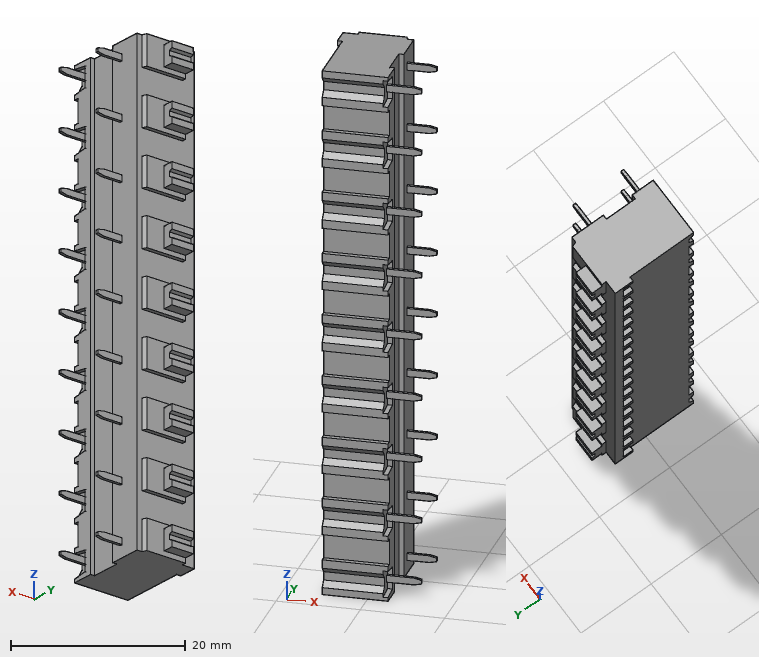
import cadquery as cq

length = 65.15
pole_count = 9
pole_pitch = 7.6
first_pole = (length - (pole_count - 1) * pole_pitch) / 2
pole_heights = [first_pole + i * pole_pitch for i in range(pole_count)]
gap_heights = [z + pole_pitch / 2 for z in pole_heights[:-1]]

body_left = 0.6
body_right = 8.4
body_back = 11.6

rail_front = 10.4
teeth_front = 9.05
pole_window_width = 2.9
gap_window_width = 3.1

foot_height = 0.6
foot_floor = body_right - foot_height
channel_front = 3.0
channel_back = 7.1

groove_depth = 0.65
groove_mouth = 2.4
groove_floor = 1.05

pocket_depth = 2.0
pocket_mouth = 3.25
pocket_back = 2.75

step_width = 4.05
step_back = 12.2
step_left = 1.75
step_right = 7.7
step_bevel = 0.25
latch_width = 2.8
latch_back = 13.6
latch_right = 4.9
latch_notch_depth = 0.45
latch_notch_mouth = 1.05
latch_notch_floor = 0.65

pin_end = 11.9
pin_width = 0.85
pin_thickness = 0.4
pin_tip_width = 0.45
pin_tip_length = 0.85
pin_embed = 0.6
pin_rows = (1.8, 8.65)


def box(x0, x1, y0, y1, z0, z1):
    """Box between opposite corners."""
    return cq.Workplane("XY").box(x1 - x0, y1 - y0, z1 - z0, centered=False).translate((x0, y0, z0))


def trapezoid_bar(x0, x1, y0, width0, y1, width1, z):
    """Bar along X, symmetric about height z, width0 high at y0 and width1 high at y1."""
    outline = [
        (y0, z - width0 / 2),
        (y1, z - width1 / 2),
        (y1, z + width1 / 2),
        (y0, z + width0 / 2),
    ]
    return cq.Workplane("YZ").polyline(outline).close().extrude(x1 - x0).translate((x0, 0, 0))


def make_body():
    """Main block with the toothed rail on the left and the channel between the feet."""
    body = box(body_left, body_right, 0, body_back, 0, length)
    body = body.union(box(0, body_left, teeth_front, body_back, 0, length))
    windows = [(z, pole_window_width) for z in pole_heights]
    windows += [(z, gap_window_width) for z in gap_heights]
    for z, width in windows:
        body = body.cut(box(0, body_left, teeth_front, rail_front, z - width / 2, z + width / 2))
    return body.cut(box(foot_floor, body_right, channel_front, channel_back, 0, length))


def gap_groove(z):
    """Square groove across the front face between two poles."""
    return box(body_left, body_right, 0, groove_depth, z - gap_window_width / 2, z + gap_window_width / 2)


def pole_groove(z):
    """Sloped groove across the front face, opening into the pocket around the front pin."""
    groove = trapezoid_bar(body_left, body_right, 0, groove_mouth, groove_depth, groove_floor, z)
    pocket = trapezoid_bar(foot_floor, body_right, 0, pocket_mouth, pocket_depth, pocket_back, z)
    return groove.union(pocket)


def make_step(z):
    """Low step on the back face with a bevelled right edge; the outermost steps reach the end faces."""
    bottom = 0 if z == pole_heights[0] else z - step_width / 2
    top = length if z == pole_heights[-1] else z + step_width / 2
    outline = [
        (step_left, body_back),
        (step_right, body_back),
        (step_right - step_bevel, step_back),
        (step_left, step_back),
    ]
    step = cq.Workplane("XY").polyline(outline).close().extrude(top - bottom)
    return step.translate((0, 0, bottom))


def make_latch(z):
    """Notched block standing on the step."""
    latch = box(step_left, latch_right, body_back, latch_back, z - latch_width / 2, z + latch_width / 2)
    notch_bottom = latch_back - latch_notch_depth
    notch = trapezoid_bar(
        step_left, latch_right, notch_bottom, latch_notch_floor, latch_back, latch_notch_mouth, z
    )
    return latch.cut(notch)


def make_pin(y, z):
    """Flat pin rooted in the foot floor, narrowing at its tip."""
    tip_start = pin_end - pin_tip_length
    root = foot_floor - pin_embed
    outline = [
        (root, -pin_width / 2),
        (tip_start, -pin_width / 2),
        (pin_end, -pin_tip_width / 2),
        (pin_end, pin_tip_width / 2),
        (tip_start, pin_width / 2),
        (root, pin_width / 2),
    ]
    pin = cq.Workplane("XZ").polyline(outline).close().extrude(pin_thickness / 2, both=True)
    return pin.translate((0, y, z))


result = make_body()
for gap_z in gap_heights:
    result = result.cut(gap_groove(gap_z))
for pole_z in pole_heights:
    result = result.cut(pole_groove(pole_z))
    result = result.union(make_step(pole_z)).union(make_latch(pole_z))
    for pin_y in pin_rows:
        result = result.union(make_pin(pin_y, pole_z))